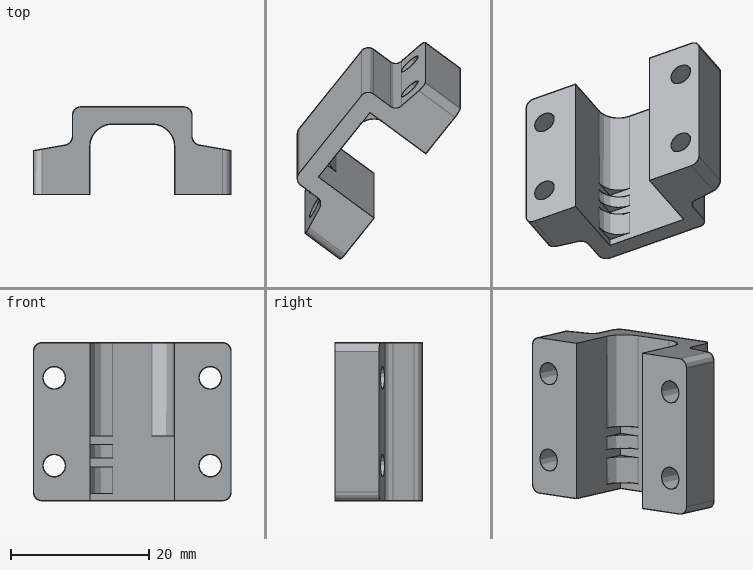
import cadquery as cq
import math

WIDTH = 28.57
DEPTH = 12.7
HEIGHT = 22.85

BRIDGE_WIDTH = 17.3
FLANGE_EDGE_DEPTH = 6.37
FLANGE_SLOPE = 10.0
EDGE_RADIUS = 1.25

CHANNEL_WIDTH = 12.23
CHANNEL_DEPTH = 10.17
CHANNEL_RADIUS = 3.23
UPPER_FILLET_START = 9.37
LEFT_FILLET_SPANS = [(1.09, 4.9), (6.17, 8.1), (UPPER_FILLET_START, HEIGHT)]
RIGHT_FILLET_SPANS = [(UPPER_FILLET_START, HEIGHT)]

HOLE_DIAMETER = 3.2
HOLE_SPACING_X = 22.55
HOLE_SPACING_Z = 12.69


def make_body():
    """Bridge and flanges, with every outer corner rounded."""
    half_width = WIDTH / 2
    half_bridge = BRIDGE_WIDTH / 2
    flange_run = half_width - half_bridge
    flange_root_depth = FLANGE_EDGE_DEPTH + flange_run * math.tan(math.radians(FLANGE_SLOPE))
    right_outline = [
        (half_width, 0),
        (half_width, FLANGE_EDGE_DEPTH),
        (half_bridge, flange_root_depth),
        (half_bridge, DEPTH),
    ]
    left_outline = [(-x, y) for x, y in reversed(right_outline)]
    body = cq.Workplane("XY").polyline(right_outline + left_outline).close().extrude(HEIGHT)

    bridge_corners = [
        (side * half_bridge, y, HEIGHT / 2)
        for side in (-1, 1)
        for y in (flange_root_depth, DEPTH)
    ]
    for corner in bridge_corners:
        body = body.edges(cq.selectors.NearestToPointSelector(corner)).fillet(EDGE_RADIUS)

    rounded_plate = (
        cq.Workplane("XY")
        .box(WIDTH, DEPTH, HEIGHT, centered=(True, False, False))
        .edges("|Y")
        .fillet(EDGE_RADIUS)
    )
    return body.intersect(rounded_plate)


def make_channel():
    """Square-cornered channel open at the mounting face and at both ends."""
    return cq.Workplane("XY").box(CHANNEL_WIDTH, CHANNEL_DEPTH, HEIGHT, centered=(True, False, False))


def make_corner_fillet(side, start, end):
    """Concave fillet in one channel corner; side is -1 for -X and 1 for +X."""
    wall_x = side * CHANNEL_WIDTH / 2
    centre_x = wall_x - side * CHANNEL_RADIUS
    centre_y = CHANNEL_DEPTH - CHANNEL_RADIUS
    diagonal = CHANNEL_RADIUS / math.sqrt(2)
    return (
        cq.Workplane("XY", origin=(0, 0, start))
        .moveTo(wall_x, centre_y)
        .lineTo(wall_x, CHANNEL_DEPTH)
        .lineTo(centre_x, CHANNEL_DEPTH)
        .threePointArc((centre_x + side * diagonal, centre_y + diagonal), (wall_x, centre_y))
        .close()
        .extrude(end - start)
    )


def make_holes():
    """Four straight holes through the flanges, centred on the mounting face."""
    return (
        cq.Workplane("XZ", origin=(0, 0, HEIGHT / 2))
        .rarray(HOLE_SPACING_X, HOLE_SPACING_Z, 2, 2)
        .circle(HOLE_DIAMETER / 2)
        .extrude(-DEPTH)
    )


result = make_body().cut(make_channel())
for side, spans in ((-1, LEFT_FILLET_SPANS), (1, RIGHT_FILLET_SPANS)):
    for start, end in spans:
        result = result.union(make_corner_fillet(side, start, end))
result = result.cut(make_holes())